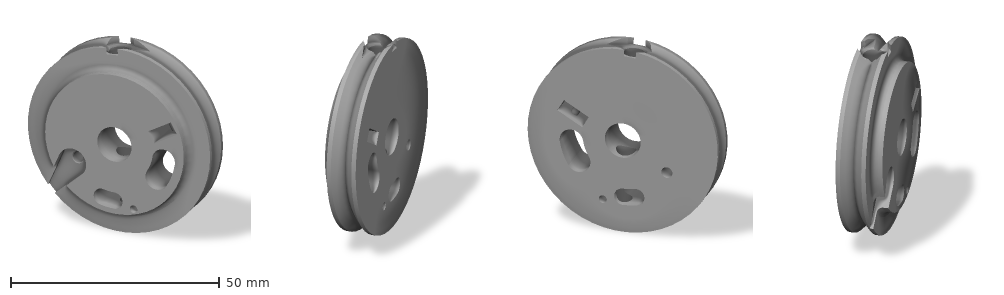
import cadquery as cq
import math

disc_radius = 24.0
flange_thickness = 7.5
total_thickness = 10.1
groove_half_width = 2.65
groove_depth = 2.65
groove_y = -flange_thickness / 2
boss_radius = 18.25
boss_fillet = 1.35
bore_diameter = 9.0

pivot_x = 11.15
pivot_z = -6.85
pivot_diameter = 2.8
pivot_chamfer = 0.2

recess_radius = 3.7
recess_floor_y = -6.65
recess_apex = (-21.1, -20.8)

side_slot_radius = math.hypot(pivot_x, pivot_z)
side_slot_start = math.degrees(math.atan2(pivot_z, pivot_x))
side_slot_end = -8.3
side_slot_width = 5.95
lower_slot_radius = 14.8
lower_slot_start = -103.0
lower_slot_end = -90.0
lower_slot_width = 4.25

small_hole_diameter = 2.0
small_hole_center = (5.05, -16.1)

window_center = (12.5, 5.33)
window_length = 7.2
window_width = 3.3
window_angle = 30.0
pin_diameter = 2.0

upper_hole_diameter = 5.4
lower_hole_diameter = 5.0
mouth_chamfer = 0.5
cross_hole_tilt = 4.5
seat_radius = 4.05
seat_height = 22.25
tail_radius = 3.55
tail_apex_x = 12.0
cut_margin = 4.8


def face_sketch(y=0.0):
    """Workplane with X and Z as its axes, extruding toward -Y."""
    return cq.Workplane("XZ", origin=(0, y, 0))


def polar(radius, angle):
    turn = math.radians(angle)
    return (radius * math.cos(turn), radius * math.sin(turn))


def teardrop(plane, center, radius, apex, height):
    """Circle joined to an apex by its two tangent lines, extruded."""
    dx = apex[0] - center[0]
    dy = apex[1] - center[1]
    toward_apex = math.degrees(math.atan2(dy, dx))
    spread = math.degrees(math.acos(radius / math.hypot(dx, dy)))

    def on_circle(angle):
        px, py = polar(radius, angle)
        return (center[0] + px, center[1] + py)

    return (
        plane.moveTo(*apex)
        .lineTo(*on_circle(toward_apex + spread))
        .threePointArc(on_circle(toward_apex + 180), on_circle(toward_apex - spread))
        .close()
        .extrude(height)
    )


def curved_slot(radius, start, end, width):
    """Through slot that follows an arc around the disc axis."""
    inner = radius - width / 2
    outer = radius + width / 2
    middle = (start + end) / 2
    half_width_angle = math.degrees(width / 2 / radius)
    return (
        face_sketch()
        .moveTo(*polar(inner, start))
        .threePointArc(polar(inner, middle), polar(inner, end))
        .threePointArc(polar(radius, end + half_width_angle), polar(outer, end))
        .threePointArc(polar(outer, middle), polar(outer, start))
        .threePointArc(polar(radius, start - half_width_angle), polar(inner, start))
        .close()
        .extrude(total_thickness)
    )


def disc_body():
    """Revolved half section with the V groove and the filleted boss."""
    fillet_mid = boss_fillet * (1 - math.sqrt(0.5))
    return (
        cq.Workplane("XY")
        .moveTo(bore_diameter / 2, 0)
        .lineTo(disc_radius, 0)
        .lineTo(disc_radius, groove_y + groove_half_width)
        .lineTo(disc_radius - groove_depth, groove_y)
        .lineTo(disc_radius, groove_y - groove_half_width)
        .lineTo(disc_radius, -flange_thickness)
        .lineTo(boss_radius + boss_fillet, -flange_thickness)
        .threePointArc(
            (boss_radius + fillet_mid, -flange_thickness - fillet_mid),
            (boss_radius, -flange_thickness - boss_fillet),
        )
        .lineTo(boss_radius, -total_thickness)
        .lineTo(bore_diameter / 2, -total_thickness)
        .close()
        .revolve(360, (0, 0, 0), (0, 1, 0))
    )


def pivot_cut():
    """Tapered recess and the chamfered hole in its floor."""
    center = (-pivot_x, pivot_z)
    depth = total_thickness + recess_floor_y
    recess = teardrop(face_sketch(recess_floor_y), center, recess_radius, recess_apex, depth)
    hole = face_sketch().center(*center).circle(pivot_diameter / 2).extrude(total_thickness)
    chamfer = (
        face_sketch(recess_floor_y + pivot_chamfer)
        .center(*center)
        .circle(pivot_diameter / 2)
        .workplane(offset=pivot_chamfer)
        .circle(pivot_diameter / 2 + pivot_chamfer)
        .loft()
    )
    return recess.union(hole).union(chamfer)


def window_cut():
    """Rotated window, leaving the pin across its short direction."""
    window = face_sketch().rect(window_length, window_width).extrude(total_thickness)
    pin = (
        cq.Workplane("XY", origin=(0, groove_y, 0))
        .circle(pin_diameter / 2)
        .extrude(window_width, both=True)
    )
    return (
        window.cut(pin)
        .rotate((0, 0, 0), (0, 1, 0), -window_angle)
        .translate((window_center[0], 0, window_center[1]))
    )


def tilt(tool):
    """Lean a vertical tool toward -X about the middle of the disc."""
    return tool.rotate((0, groove_y, 0), (0, groove_y + 0.5, 0), -cross_hole_tilt)


def cross_hole_cut():
    """Tilted through hole, wider above the bore axis and chamfered at the seat."""
    plane = cq.Workplane(cq.Plane(origin=(0, groove_y, 0), xDir=(0, 1, 0), normal=(0, 0, 1)))
    upper = plane.circle(upper_hole_diameter / 2).extrude(disc_radius + cut_margin)
    lower = plane.circle(lower_hole_diameter / 2).extrude(-disc_radius - cut_margin)
    mouth = (
        plane.workplane(offset=seat_height - mouth_chamfer)
        .circle(upper_hole_diameter / 2)
        .workplane(offset=mouth_chamfer)
        .circle(upper_hole_diameter / 2 + mouth_chamfer)
        .loft()
    )
    return tilt(upper.union(lower).union(mouth))


def seat_cut():
    """Flat-bottomed round seat square to the cross hole."""
    return tilt(
        cq.Workplane("XY", origin=(0, groove_y, seat_height))
        .circle(seat_radius)
        .extrude(cut_margin)
    )


def tail_cut():
    """Level lead-in that narrows from the seat toward +X."""
    seat_x = -seat_height * math.tan(math.radians(cross_hole_tilt))
    plane = cq.Workplane("XY", origin=(0, groove_y, seat_height))
    return teardrop(plane, (seat_x, 0), tail_radius, (tail_apex_x, 0), cut_margin)


small_hole = (
    face_sketch()
    .center(*small_hole_center)
    .circle(small_hole_diameter / 2)
    .extrude(total_thickness)
)

result = (
    disc_body()
    .cut(pivot_cut())
    .cut(curved_slot(side_slot_radius, side_slot_start, side_slot_end, side_slot_width))
    .cut(curved_slot(lower_slot_radius, lower_slot_start, lower_slot_end, lower_slot_width))
    .cut(small_hole)
    .cut(window_cut())
    .cut(seat_cut())
    .cut(tail_cut())
    .cut(cross_hole_cut())
)